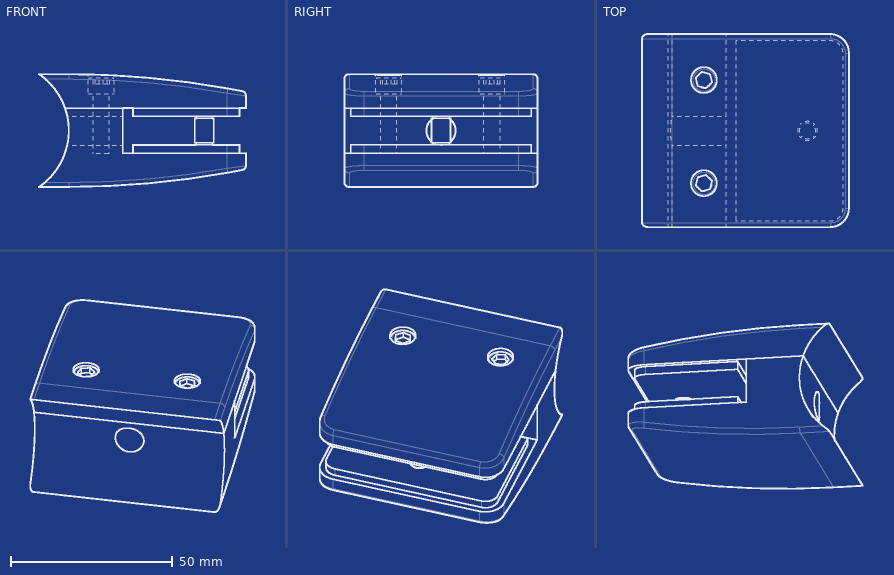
import cadquery as cq
import math

length = 64.2
width = 60.0
height = 35.0
front_height = 24.0
corner_radius = 6.0
edge_radius = 1.5

tube_radius = 21.2
tube_centre_x = -math.sqrt(tube_radius ** 2 - (height / 2) ** 2)
cradle_depth = tube_centre_x + tube_radius

slot_half_height = 7.0
slot_back_x = 26.0

fixing_hole_diameter = 9.0

pad_thickness = 2.6
pad_inset = 2.0
pad_back_x = 29.1

pin_x = 51.25
pin_diameter = 6.0
pin_neck_diameter = 5.0
pin_neck_length = 0.65

screw_x = 19.2
screw_spacing = 32.0
screw_centre_y = -0.3
screw_ys = [screw_centre_y + side * screw_spacing / 2 for side in (1, -1)]
head_diameter = 8.0
head_fillet = 0.6
head_top_z = 16.4
head_height = 5.0
shank_diameter = 5.0
shank_end_z = -slot_half_height
socket_diameter = 5.25
socket_depth = 1.85
socket_turn = 16.0


def taper_arc_middle():
    """Point halfway along the arc that leaves the flat top tangentially and drops to the front."""
    run = length - cradle_depth
    drop = (height - front_height) / 2
    radius = (run ** 2 + drop ** 2) / (2 * drop)
    half_angle = math.asin(run / radius) / 2
    x = cradle_depth + radius * math.sin(half_angle)
    z = height / 2 - radius * (1 - math.cos(half_angle))
    return x, z


def make_envelope():
    """Tapered, rounded outside shape shared by both clamp halves."""
    mid_x, mid_z = taper_arc_middle()
    block = (
        cq.Workplane("XZ")
        .moveTo(0, -height / 2)
        .lineTo(cradle_depth, -height / 2)
        .threePointArc((mid_x, -mid_z), (length, -front_height / 2))
        .lineTo(length, front_height / 2)
        .threePointArc((mid_x, mid_z), (cradle_depth, height / 2))
        .lineTo(0, height / 2)
        .close()
        .extrude(width / 2, both=True)
    )
    block = block.edges("|Z and >X").fillet(corner_radius)
    block = block.faces("<Y or >Y").edges("not |Z").fillet(edge_radius)
    cradle = cq.Workplane("XZ").center(tube_centre_x, 0).circle(tube_radius).extrude(width, both=True)
    return block.cut(cradle)


def box_above(z_bottom, x_back):
    """Block wider than the clamp, from a given height upwards and a given X forwards."""
    return (
        cq.Workplane("XY")
        .box(2 * length, 2 * width, height, centered=(False, True, False))
        .translate((x_back, 0, z_bottom))
    )


def make_screw(y, turn):
    """Socket-head screw standing along Z."""
    head = (
        cq.Workplane("XY")
        .workplane(offset=head_top_z - head_height)
        .circle(head_diameter / 2)
        .extrude(head_height)
        .faces(">Z")
        .edges()
        .fillet(head_fillet)
    )
    shank = (
        cq.Workplane("XY")
        .workplane(offset=shank_end_z)
        .circle(shank_diameter / 2)
        .extrude(head_top_z - head_height - shank_end_z)
    )
    socket = (
        cq.Workplane("XY")
        .workplane(offset=head_top_z - socket_depth)
        .polygon(6, socket_diameter)
        .extrude(socket_depth)
        .rotate((0, 0, 0), (0, 0, 1), turn)
    )
    return head.union(shank).cut(socket).translate((screw_x, y, 0))


def make_screw_hole(y):
    """Counterbored hole that matches a screw and opens through the top."""
    counterbore = (
        cq.Workplane("XY")
        .workplane(offset=head_top_z - head_height)
        .circle(head_diameter / 2)
        .extrude(height)
    )
    bore = (
        cq.Workplane("XY")
        .workplane(offset=shank_end_z)
        .circle(shank_diameter / 2)
        .extrude(height)
    )
    return counterbore.union(bore).translate((screw_x, y, 0))


def make_pad(z_bottom):
    """Flat pad with rounded front corners."""
    front_x = length - pad_inset
    return (
        cq.Workplane("XY")
        .box(front_x - pad_back_x, width - 2 * pad_inset, pad_thickness, centered=(False, True, False))
        .edges("|Z and >X")
        .fillet(corner_radius - pad_inset)
        .translate((pad_back_x, 0, z_bottom))
    )


def make_pin():
    """Pin with a narrower neck at each end, standing between the pads."""
    span = 2 * (slot_half_height - pad_thickness)
    barrel_length = span - 2 * pin_neck_length
    neck = cq.Workplane("XY").circle(pin_neck_diameter / 2).extrude(span).translate((0, 0, -span / 2))
    barrel = (
        cq.Workplane("XY")
        .circle(pin_diameter / 2)
        .extrude(barrel_length)
        .translate((0, 0, -barrel_length / 2))
    )
    return neck.union(barrel).translate((pin_x, 0, 0))


envelope = make_envelope()
for screw_y in screw_ys:
    envelope = envelope.cut(make_screw_hole(screw_y))
cover_zone = box_above(slot_half_height, 0)
cover = envelope.intersect(cover_zone)

slot = box_above(-slot_half_height, slot_back_x)
fixing_hole = cq.Workplane("YZ").circle(fixing_hole_diameter / 2).extrude(slot_back_x)
base = envelope.cut(cover_zone).cut(slot).cut(fixing_hole)

pads = [make_pad(z) for z in (-slot_half_height, slot_half_height - pad_thickness)]
pin = make_pin()
screws = [make_screw(y, turn) for y, turn in zip(screw_ys, (-socket_turn, socket_turn))]

bodies = [base, cover, pin, *pads, *screws]
result = cq.Compound.makeCompound([body.val() for body in bodies])